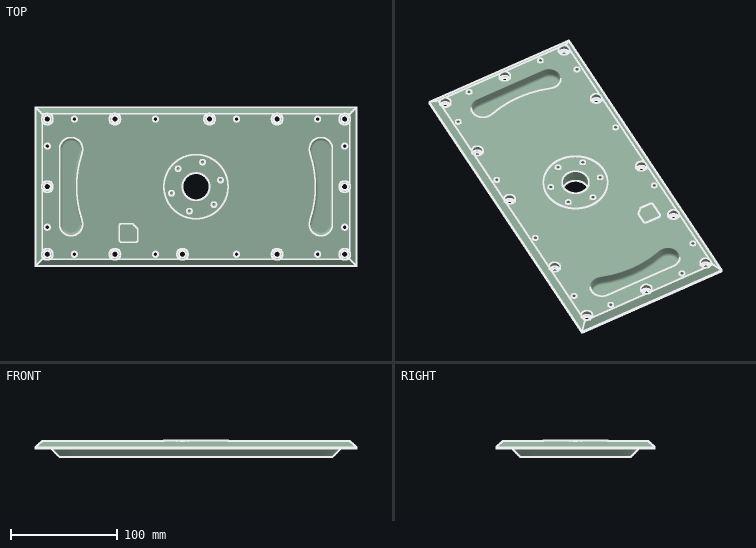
import cadquery as cq
import math

plate_length = 301.8
plate_width = 149.5
plate_thickness = 7.5
rim_height = 1.8
bevel_width = 6.3
belly_depth = 7.5
boss_height = 0.5
plate_top = plate_thickness

belly_length = 271.5
belly_width = 119.0
belly_corner_radius = 20.2
belly_taper_angle = 45.0

boss_diameter = 60.5
bore_diameter = 25.3
bolt_count = 6
bolt_circle_radius = 23.8
bolt_start_angle = 15.0
bolt_hole_diameter = 4.8
bolt_hole_depth = 9.7
drill_tip_angle = 118.0

edge_row_x = 139.7
hole_pitch = edge_row_x / 5.5
edge_row_y = 2.5 * hole_pitch
screw_hole_diameter = 6.3
counterbore_diameter = 10.5
counterbore_depth = 6.5
pin_hole_diameter = 4.8

grip_center_x = 117.5
grip_end_y = 35.3
grip_end_radius = 11.0
grip_blend_radius = 14.0
grip_waist_x = 112.3
grip_depth = 10.3
grip_floor_fillet = 3.3
grip_rim_fillet = 0.5

label_x = -63.5
label_y = -43.5
label_size = 17.5
label_clip = 5.0
label_corner_radius = 2.0
label_depth = 0.5


def make_plate():
    """Rectangular plate with a bevelled upper edge on all four sides."""
    slab = cq.Workplane("XY").box(plate_length, plate_width, plate_thickness, centered=(True, True, False))
    return slab.faces(">Z").chamfer(plate_thickness - rim_height, bevel_width)


def make_belly():
    """Rounded rectangle that narrows downwards."""
    return (
        cq.Workplane("XY")
        .sketch()
        .rect(belly_length, belly_width)
        .vertices()
        .fillet(belly_corner_radius)
        .finalize()
        .extrude(-belly_depth, taper=belly_taper_angle)
    )


def make_boss():
    return cq.Workplane("XY").circle(boss_diameter / 2).extrude(plate_top + boss_height)


def make_bolt_holes():
    """Ring of blind drilled holes with conical tips, cut from the boss face."""
    radius = bolt_hole_diameter / 2
    tip_depth = radius / math.tan(math.radians(drill_tip_angle / 2))
    top = plate_top + boss_height
    drill = (
        cq.Workplane("XZ")
        .moveTo(0, top)
        .lineTo(radius, top)
        .lineTo(radius, top - bolt_hole_depth)
        .lineTo(0, top - bolt_hole_depth - tip_depth)
        .close()
        .revolve(360, (0, 0), (0, 1))
    )
    holes = cq.Workplane("XY")
    for index in range(bolt_count):
        angle = bolt_start_angle + index * 360 / bolt_count
        holes = holes.add(drill.translate((bolt_circle_radius, 0, 0)).rotate((0, 0, 0), (0, 0, 1), angle))
    return holes.combine()


def mirrored_points(x, y):
    return [(x, y), (-x, y), (x, -y), (-x, -y)]


def screw_points():
    """Counterbored holes: corners, intermediate and middle ones; the middle pair is staggered along X."""
    points = mirrored_points(edge_row_x, edge_row_y)
    points += mirrored_points(3 * hole_pitch, edge_row_y)
    points += [(edge_row_x, 0), (-edge_row_x, 0)]
    points += [(hole_pitch / 2, edge_row_y), (-hole_pitch / 2, -edge_row_y)]
    return points


def pin_points():
    """Plain holes between the counterbored ones."""
    points = mirrored_points(4.5 * hole_pitch, edge_row_y)
    points += mirrored_points(1.5 * hole_pitch, edge_row_y)
    points += mirrored_points(edge_row_x, 1.5 * hole_pitch)
    return points


def make_grip_pocket():
    """Pocket on the +X side: straight outer wall, round ends and a waist that narrows the middle."""
    outer_x = grip_center_x + grip_end_radius
    inner_x = grip_center_x - grip_end_radius
    end_tip_y = grip_end_y + grip_end_radius

    blend_center_x = inner_x + grip_blend_radius
    waist_offset = blend_center_x - grip_waist_x
    waist_radius = waist_offset**2 + grip_end_y**2 - grip_blend_radius**2
    waist_radius /= 2 * (grip_blend_radius - waist_offset)
    touch_angle = math.asin(grip_end_y / (waist_radius + grip_blend_radius))

    def blend_point(angle):
        return (
            blend_center_x - grip_blend_radius * math.cos(angle),
            grip_end_y - grip_blend_radius * math.sin(angle),
        )

    blend_x, blend_y = blend_point(touch_angle / 2)
    touch_x, touch_y = blend_point(touch_angle)

    pocket = (
        cq.Workplane("XY", origin=(0, 0, plate_top))
        .moveTo(outer_x, -grip_end_y)
        .lineTo(outer_x, grip_end_y)
        .threePointArc((grip_center_x, end_tip_y), (inner_x, grip_end_y))
        .threePointArc((blend_x, blend_y), (touch_x, touch_y))
        .threePointArc((grip_waist_x, 0), (touch_x, -touch_y))
        .threePointArc((blend_x, -blend_y), (inner_x, -grip_end_y))
        .threePointArc((grip_center_x, -end_tip_y), (outer_x, -grip_end_y))
        .close()
        .extrude(-grip_depth)
    )
    return pocket.faces("<Z").edges().fillet(grip_floor_fillet)


def round_grip_rim(body, side):
    """Round over the top edge of the grip pocket on the given side."""
    half_width = grip_end_radius + grip_rim_fillet
    half_length = grip_end_y + half_width
    corner = (side * grip_center_x - half_width, -half_length, plate_top - grip_rim_fillet / 2)
    opposite = (side * grip_center_x + half_width, half_length, plate_top + grip_rim_fillet / 2)
    return body.edges(cq.selectors.BoxSelector(corner, opposite, boundingbox=True)).fillet(grip_rim_fillet)


def make_label_recess():
    block = (
        cq.Workplane("XY", origin=(label_x, label_y, plate_top - label_depth))
        .rect(label_size, label_size)
        .extrude(label_depth)
    )
    block = block.edges("|Z and (>X and >Y)").chamfer(label_clip)
    return block.edges("|Z and (<X or <Y)").fillet(label_corner_radius)


def drill_through(body, points, diameter):
    """Cut round holes through the full height of the part."""
    height = belly_depth + plate_top + boss_height
    base_plane = cq.Workplane("XY", origin=(0, 0, -belly_depth))
    return body.cut(base_plane.pushPoints(points).circle(diameter / 2).extrude(height))


def make_counterbores():
    top_plane = cq.Workplane("XY", origin=(0, 0, plate_top))
    return top_plane.pushPoints(screw_points()).circle(counterbore_diameter / 2).extrude(-counterbore_depth)


result = make_plate().union(make_belly()).union(make_boss())

result = drill_through(result, [(0, 0)], bore_diameter)
result = drill_through(result, screw_points(), screw_hole_diameter)
result = drill_through(result, pin_points(), pin_hole_diameter)
result = result.cut(make_counterbores())
result = result.cut(make_bolt_holes())

grip_pocket = make_grip_pocket()
result = result.cut(grip_pocket).cut(grip_pocket.mirror("YZ"))
for side in (-1, 1):
    result = round_grip_rim(result, side)

result = result.cut(make_label_recess())